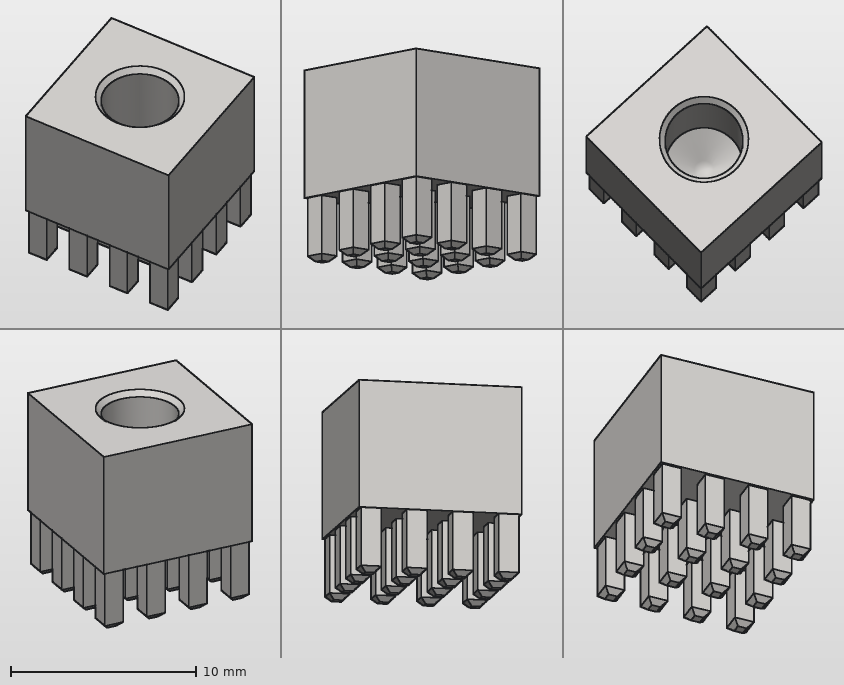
import cadquery as cq
import math

block_side = 9.0
total_height = 10.5
block_height = 7.0
pin_length = total_height - block_height

pins_per_side = 4
pin_pitch = 2.54
pin_width = 1.12
tip_height = 0.3

bore_diameter = 4.2
mouth_diameter = 4.81
bore_depth = 5.0
drill_point_angle = 118.0


def make_block():
    return cq.Workplane("XY").box(block_side, block_side, block_height, centered=(True, True, False))


def make_bore():
    """Revolved cutter: countersink, straight wall and conical drill-point bottom."""
    bore_radius = bore_diameter / 2
    mouth_radius = mouth_diameter / 2
    countersink_depth = mouth_radius - bore_radius
    wall_bottom = block_height - bore_depth
    cone_height = bore_radius / math.tan(math.radians(drill_point_angle / 2))
    return (
        cq.Workplane("XZ")
        .moveTo(0, block_height)
        .lineTo(mouth_radius, block_height)
        .lineTo(bore_radius, block_height - countersink_depth)
        .lineTo(bore_radius, wall_bottom)
        .lineTo(0, wall_bottom - cone_height)
        .close()
        .revolve(360, (0, 0, 0), (0, 1, 0))
    )


def make_pins():
    """Full square grid of pins hanging below the block."""
    return (
        cq.Workplane("XY")
        .rarray(pin_pitch, pin_pitch, pins_per_side, pins_per_side)
        .rect(pin_width, pin_width)
        .extrude(-pin_length)
        .faces("<Z")
        .chamfer(tip_height)
    )


result = make_block().cut(make_bore()).union(make_pins())